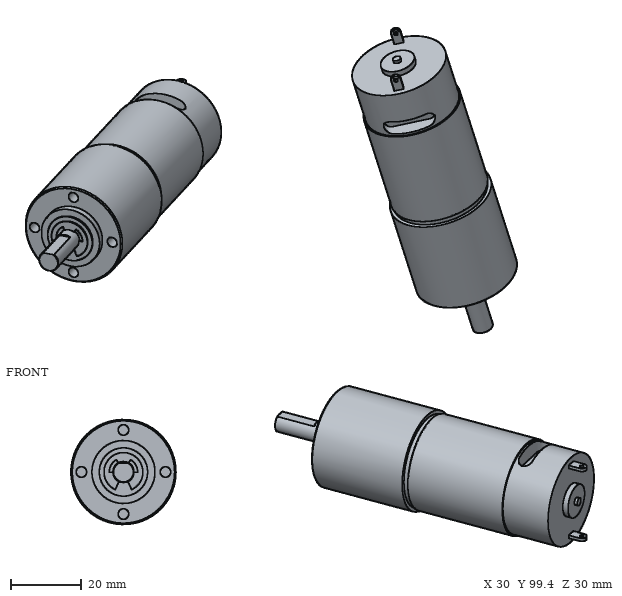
import cadquery as cq
import math


gearbox_diameter = 30.0
gearbox_end = 29.5
gearbox_chamfer = 0.4
neck_diameter = 27.8
neck_end = 31.0
sleeve_diameter = 28.7
sleeve_end = 61.6
can_diameter = 27.8
can_end = 76.2

rear_boss_diameter = 10.0
rear_boss_length = 1.7
rear_stub_diameter = 2.3
rear_stub_length = 0.9

pilot_diameter = 18.0
pilot_length = 2.1
bushing_diameter = 13.8
bushing_length = 0.5
shaft_diameter = 6.0
shaft_length = 18.3
flat_length = 12.0
flat_depth = 0.5
shaft_chamfer = 0.15

clip_diameter = 11.1
clip_thickness = 0.4
clip_relief_diameter = 8.1
clip_relief_angles = ((0, 60), (120, 180))
clip_mouth_half_angle = 25
clip_mouth_angles = (270 - clip_mouth_half_angle, 270 + clip_mouth_half_angle)

hole_diameter = 3.0
hole_circle_radius = 12.0
hole_count = 4
hole_depth = 5.0

slot_length = 15.0
slot_width = 4.3
slot_center_y = 64.5
slot_floor_height = 9.2

terminal_end = 81.1
terminal_width = 2.8
terminal_thickness = 1.0
terminal_offset = 11.5
terminal_hole_diameter = 1.2
terminal_root = 1.0


def cylinder(diameter, y_start, y_end):
    """Cylinder on the motor axis between two Y positions."""
    disc = cq.Workplane("XZ", origin=(0, y_start, 0)).circle(diameter / 2)
    return disc.extrude(y_start - y_end)


def make_housing():
    gearbox = cylinder(gearbox_diameter, 0, gearbox_end).faces("<Y").chamfer(gearbox_chamfer)
    neck = cylinder(neck_diameter, gearbox_end, neck_end)
    sleeve = cylinder(sleeve_diameter, neck_end, sleeve_end)
    can = cylinder(can_diameter, sleeve_end, can_end)
    boss_end = can_end + rear_boss_length
    boss = cylinder(rear_boss_diameter, can_end, boss_end)
    stub = cylinder(rear_stub_diameter, boss_end, boss_end + rear_stub_length)
    return gearbox.union(neck).union(sleeve).union(can).union(boss).union(stub)


def make_mounting_holes():
    return (
        cq.Workplane("XZ")
        .polarArray(hole_circle_radius, 0, 360, hole_count)
        .circle(hole_diameter / 2)
        .extrude(-hole_depth)
    )


def make_vent_slot():
    """Cutter for the slot on the +Z side, down to its flat floor."""
    return (
        cq.Workplane("XY", origin=(0, slot_center_y, slot_floor_height))
        .slot2D(slot_length, slot_width)
        .extrude(can_diameter / 2)
    )


def make_shaft():
    shaft = cylinder(shaft_diameter, -shaft_length, 0).faces("<Y").chamfer(shaft_chamfer)
    flat_cutter = (
        cq.Workplane("XY", origin=(0, -shaft_length, shaft_diameter / 2 - flat_depth))
        .rect(shaft_diameter, 2 * flat_length)
        .extrude(shaft_diameter)
    )
    return shaft.cut(flat_cutter)


def clip_sector(outer_radius, y_start, angles):
    """Cutter for the clip: a sector between two angles, measured from +X towards +Z."""
    start, end = (math.radians(angle) for angle in angles)
    middle = (start + end) / 2

    def on_arc(angle):
        return (outer_radius * math.cos(angle), outer_radius * math.sin(angle))

    return (
        cq.Workplane("XZ", origin=(0, y_start, 0))
        .lineTo(*on_arc(start))
        .threePointArc(on_arc(middle), on_arc(end))
        .close()
        .extrude(clip_thickness)
    )


def make_clip(y_start):
    """E-shaped clip: open at the bottom, with a relief on each side of its top prong."""
    clip = cylinder(clip_diameter, y_start - clip_thickness, y_start)
    for angles in clip_relief_angles:
        clip = clip.cut(clip_sector(clip_relief_diameter / 2, y_start, angles))
    return clip.cut(clip_sector(clip_diameter, y_start, clip_mouth_angles))


def make_output():
    bushing_face = -pilot_length - bushing_length
    pilot = cylinder(pilot_diameter, -pilot_length, 0)
    bushing = cylinder(bushing_diameter, bushing_face, -pilot_length)
    return pilot.union(bushing).union(make_clip(bushing_face)).union(make_shaft())


def make_terminal(z_center):
    """Flat tab with a fully rounded tip and a wire eye at the center of the rounding."""
    y_start = can_end - terminal_root
    tip_radius = terminal_width / 2
    tip_center_y = terminal_end - tip_radius
    outline = (
        cq.Workplane("XY", origin=(0, 0, z_center - terminal_thickness / 2))
        .moveTo(-tip_radius, y_start)
        .lineTo(tip_radius, y_start)
        .lineTo(tip_radius, tip_center_y)
        .threePointArc((0, terminal_end), (-tip_radius, tip_center_y))
        .close()
    )
    return (
        outline.moveTo(0, tip_center_y)
        .circle(terminal_hole_diameter / 2)
        .extrude(terminal_thickness)
    )


vent_slot = make_vent_slot()
housing = make_housing().cut(vent_slot).cut(vent_slot.mirror("XY")).cut(make_mounting_holes())
result = housing.union(make_output())
for side in (-1, 1):
    result = result.union(make_terminal(side * terminal_offset))